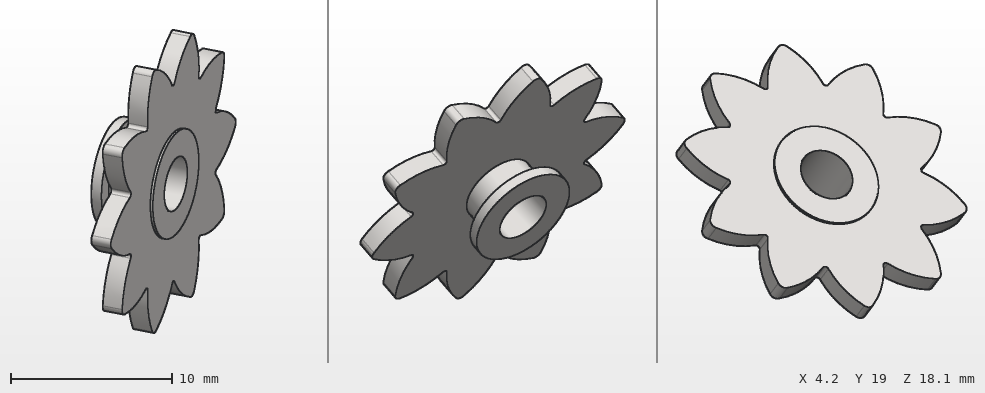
import cadquery as cq
import math

tooth_count = 10
tip_radius = 9.5
root_radius = 6.76
wheel_thickness = 1.33

nose_start = (9.37, 0.32)
flank_middle = (8.23, 1.27)
flank_end = (6.57, 1.95)

flange_diameter = 7.0
flange_thickness = 0.7
neck_diameter = 4.8
neck_length = 2.0
rear_rim_thickness = 0.17
bore_diameter = 3.5

wheel_start = flange_thickness + neck_length
wheel_end = wheel_start + wheel_thickness
total_length = wheel_end + rear_rim_thickness


def turned(point, angle):
    """Rotate a point about the wheel centre."""
    along, across = point
    return (
        along * math.cos(angle) - across * math.sin(angle),
        along * math.sin(angle) + across * math.cos(angle),
    )


def mirrored(point):
    """Reflect a point in the tooth centreline."""
    return (point[0], -point[1])


def disc(start, length, diameter):
    return cq.Workplane("YZ", origin=(start, 0, 0)).circle(diameter / 2).extrude(length)


def toothed_wheel():
    pitch = 2 * math.pi / tooth_count
    outline = cq.Workplane("YZ", origin=(wheel_start, 0, 0)).moveTo(*mirrored(flank_end))
    for tooth in range(tooth_count):
        angle = tooth * pitch
        arcs = [
            (mirrored(flank_middle), mirrored(nose_start)),
            ((tip_radius, 0), nose_start),
            (flank_middle, flank_end),
            (turned((root_radius, 0), pitch / 2), turned(mirrored(flank_end), pitch)),
        ]
        for middle, end in arcs:
            outline = outline.threePointArc(turned(middle, angle), turned(end, angle))
    return outline.close().extrude(wheel_thickness)


front_flange = disc(0, flange_thickness, flange_diameter)
neck = disc(flange_thickness, neck_length, neck_diameter)
rear_rim = disc(wheel_end, rear_rim_thickness, flange_diameter)
bore = disc(0, total_length, bore_diameter)

result = toothed_wheel().union(neck).union(front_flange).union(rear_rim).cut(bore)